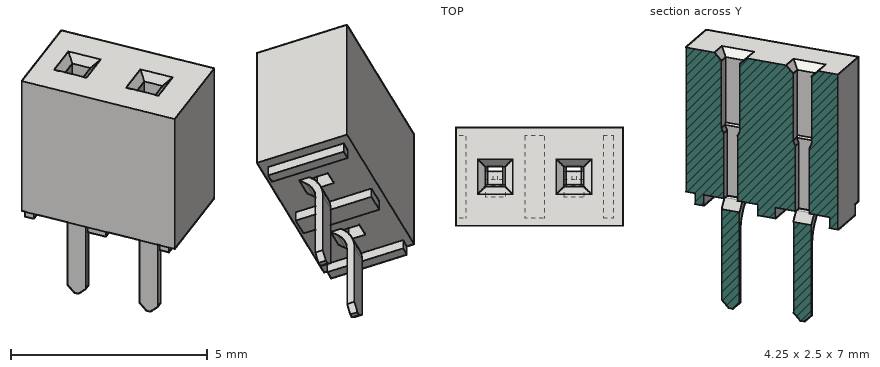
import cadquery as cq
import math

ways = 2
body_length = 4.25
body_depth = 2.5
total_height = 7.0
end_margin = 0.25
pitch = (body_length - end_margin) / ways
body_height = 4.0
first_way_x = -body_length / 2 + pitch / 2
way_positions = [first_way_x + way * pitch for way in range(ways)]

foot_height = 0.3
foot_width = 0.5
foot_depth = 2.1

mouth_size = 0.895
lead_in_depth = 0.195
throat_size = mouth_size - 2 * lead_in_depth
ledge_z = body_height / 2
rear_ledge_inset = 0.05
rear_ledge_height = rear_ledge_inset
side_ledge_inset = 0.06
side_ledge_height = 0.14

pin_width = 0.505
pin_thickness = 0.2
pin_drop = total_height - body_height
pin_back_y = 0.14
tip_chamfer = 0.195
bend_start_z = -0.825
bend_inner_radius = 0.9
bend_angle = 45.0
embedded_run = 0.35


def make_housing():
    return cq.Workplane("XY").box(body_length, body_depth, body_height, centered=(True, True, False))


def make_feet():
    """Full-width feet between ways, and half-width feet at the outer boundaries."""
    feet = cq.Workplane("XY")
    row_start = first_way_x - pitch / 2
    row_end = row_start + ways * pitch
    for boundary in range(ways + 1):
        middle = row_start + boundary * pitch
        left = max(middle - foot_width / 2, row_start)
        right = min(middle + foot_width / 2, row_end)
        foot = cq.Workplane("XY").box(right - left, foot_depth, foot_height)
        feet = feet.add(foot.translate(((left + right) / 2, 0, -foot_height / 2)))
    return feet.combine()


def tapered_hole(top_z, top_size, top_y, height, bottom_size, bottom_y):
    """Loft downwards between two rectangles, each centred on its own Y."""
    return (
        cq.Workplane("XY", origin=(0, top_y, top_z))
        .rect(*top_size)
        .workplane(offset=-height)
        .center(0, bottom_y - top_y)
        .rect(*bottom_size)
        .loft(ruled=True)
    )


def make_opening():
    """Square lead-in and throat, narrowed by a ledge on the -Y side and then one on each X side."""
    throat = (throat_size, throat_size)
    slot = (throat_size, throat_size - rear_ledge_inset)
    passage = (throat_size - 2 * side_ledge_inset, throat_size - rear_ledge_inset)
    slot_y = rear_ledge_inset / 2
    throat_top_z = body_height - lead_in_depth
    side_ledge_z = ledge_z - rear_ledge_height
    passage_top_z = side_ledge_z - side_ledge_height

    lead_in = tapered_hole(body_height, (mouth_size, mouth_size), 0, lead_in_depth, throat, 0)
    shaft = cq.Workplane("XY", origin=(0, 0, ledge_z)).rect(*throat).extrude(throat_top_z - ledge_z)
    rear_ledge = tapered_hole(ledge_z, throat, 0, rear_ledge_height, slot, slot_y)
    side_ledges = tapered_hole(side_ledge_z, slot, slot_y, side_ledge_height, passage, slot_y)
    lower = cq.Workplane("XY").center(0, slot_y).rect(*passage).extrude(passage_top_z)
    return lead_in.union(shaft).union(rear_ledge).union(side_ledges).union(lower)


def make_pin():
    """Flat pin that rises from its tip and bends towards -Y into the housing."""
    front_y = pin_back_y - pin_thickness
    bend_centre_y = front_y - bend_inner_radius
    bend_outer_radius = bend_inner_radius + pin_thickness

    def on_bend(radius, degrees, run=0.0):
        """Point (Y, Z) on the bend, moved a run along the tangent there."""
        angle = math.radians(degrees)
        y = bend_centre_y + radius * math.cos(angle) - run * math.sin(angle)
        z = bend_start_z + radius * math.sin(angle) + run * math.cos(angle)
        return (y, z)

    strip = (
        cq.Workplane("YZ")
        .moveTo(front_y, -pin_drop)
        .lineTo(pin_back_y, -pin_drop)
        .lineTo(pin_back_y, bend_start_z)
        .threePointArc(on_bend(bend_outer_radius, bend_angle / 2), on_bend(bend_outer_radius, bend_angle))
        .lineTo(*on_bend(bend_outer_radius, bend_angle, embedded_run))
        .lineTo(*on_bend(bend_inner_radius, bend_angle, embedded_run))
        .lineTo(*on_bend(bend_inner_radius, bend_angle))
        .threePointArc(on_bend(bend_inner_radius, bend_angle / 2), (front_y, bend_start_z))
        .close()
        .extrude(pin_width / 2, both=True)
    )
    return strip.faces("<Z").edges("|Y").chamfer(tip_chamfer)


opening = make_opening()
pin = make_pin()

result = make_housing().union(make_feet())
for way_x in way_positions:
    result = result.cut(opening.translate((way_x, 0, 0)))
    result = result.union(pin.translate((way_x, 0, 0)))